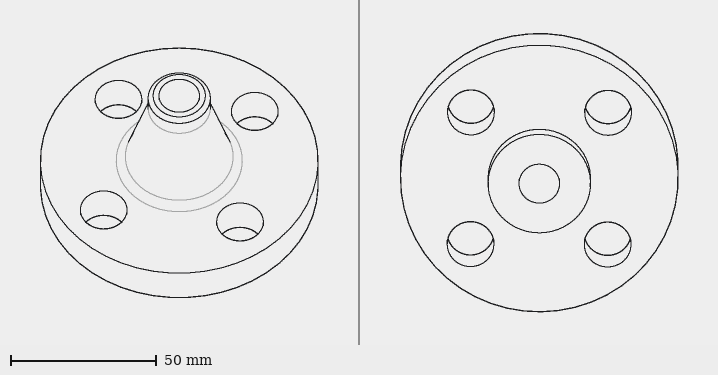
import cadquery as cq
import math

flange_diameter = 95.2
flange_thickness = 14.4
face_diameter = 35.1
face_height = 6.3

overall_height = 58.7
neck_diameter = 21.3
neck_length = 7.2
bevel_land_diameter = 17.9
bevel_height = 1.4
hub_base_diameter = 38.3
hub_fillet_radius = 3.2
bore_diameter = 13.9

bolt_circle_diameter = 66.5
bolt_hole_diameter = 16.0
bolt_hole_count = 4

flange_top = face_height + flange_thickness
neck_bottom = overall_height - neck_length
bevel_bottom = overall_height - bevel_height


def revolved_body():
    """Half section in the XZ plane, turned about Z."""
    hub_radius = hub_base_diameter / 2
    neck_radius = neck_diameter / 2
    slope = math.atan2(neck_bottom - flange_top, hub_radius - neck_radius)
    setback = hub_fillet_radius * math.tan(slope / 2)
    foot = (hub_radius + setback, flange_top)
    shoulder = (
        hub_radius - setback * math.cos(slope),
        flange_top + setback * math.sin(slope),
    )
    middle = (
        foot[0] - hub_fillet_radius * math.sin(slope / 2),
        flange_top + hub_fillet_radius * (1 - math.cos(slope / 2)),
    )
    return (
        cq.Workplane("XZ")
        .moveTo(bore_diameter / 2, 0)
        .lineTo(face_diameter / 2, 0)
        .lineTo(face_diameter / 2, face_height)
        .lineTo(flange_diameter / 2, face_height)
        .lineTo(flange_diameter / 2, flange_top)
        .lineTo(*foot)
        .threePointArc(middle, shoulder)
        .lineTo(neck_radius, neck_bottom)
        .lineTo(neck_radius, bevel_bottom)
        .lineTo(bevel_land_diameter / 2, overall_height)
        .lineTo(bore_diameter / 2, overall_height)
        .close()
        .revolve(360, (0, 0, 0), (0, 1, 0))
    )


def bolt_holes():
    """Cylinders through the flange, the first one on the X axis."""
    return (
        cq.Workplane("XY")
        .workplane(offset=face_height)
        .polarArray(bolt_circle_diameter / 2, 0, 360, bolt_hole_count)
        .circle(bolt_hole_diameter / 2)
        .extrude(flange_thickness)
    )


result = revolved_body().cut(bolt_holes())